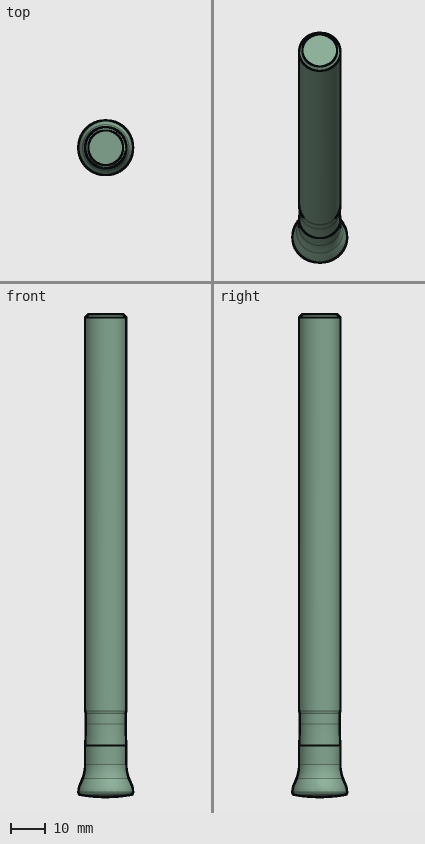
import cadquery as cq

total_length = 140.0
shank_radius = 12.0 / 2
neck_radius = 11.6 / 2
head_radius = 16.0 / 2

shank_end_z = 25.0
neck_top_z = 24.2
neck_bottom_z = 21.3
joint_z = 15.0
flare_top_z = 9.5
rim_z = 5.5
widest_z = 1.5
dome_edge_z = 0.7

top_chamfer = 1.0

rim_radius = 6.7
dome_edge_radius = 7.4

flank_start_direction = (0.4, -1)
dome_start_direction = (-1, -0.2)


def make_shank():
    """Long round shank with a chamfered top and a slimmer neck that widens to the joint."""
    outline = (
        cq.Workplane("XZ")
        .moveTo(0, total_length)
        .lineTo(shank_radius - top_chamfer, total_length)
        .lineTo(shank_radius, total_length - top_chamfer)
        .lineTo(shank_radius, shank_end_z)
        .lineTo(neck_radius, neck_top_z)
        .lineTo(neck_radius, neck_bottom_z)
        .tangentArcPoint((shank_radius, joint_z), relative=False)
        .lineTo(0, joint_z)
        .close()
    )
    return outline.revolve(360, (0, 0, 0), (0, 1, 0))


def make_head():
    """Round head: plain collar, concave flare, bulging flank and domed end."""
    downward = (0, -1)
    inward = (-1, 0)
    flare_end = (rim_radius, rim_z)
    flank_end = (head_radius, widest_z)
    dome_edge = (dome_edge_radius, dome_edge_z)
    outline = (
        cq.Workplane("XZ")
        .moveTo(0, joint_z)
        .lineTo(shank_radius, joint_z)
        .lineTo(shank_radius, flare_top_z)
        .tangentArcPoint(flare_end, relative=False)
        .spline([flank_end], tangents=[flank_start_direction, downward], includeCurrent=True)
        .tangentArcPoint(dome_edge, relative=False)
        .spline([(0, 0)], tangents=[dome_start_direction, inward], includeCurrent=True)
        .close()
    )
    return outline.revolve(360, (0, 0, 0), (0, 1, 0))


shank = make_shank()
head = make_head()
result = cq.Compound.makeCompound([shank.val(), head.val()])